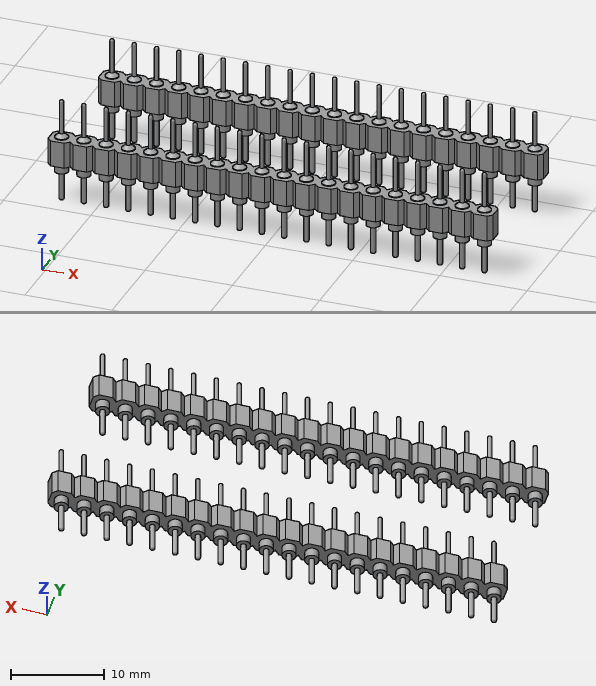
import cadquery as cq
import math

pin_count = 20
pitch = 2.55
row_spacing = 15.25

strip_length = pin_count * pitch
strip_height = 3.0
corner_chamfer = 0.5

collar_diameter = 1.5
collar_drop = 1.05
collar_rise = 0.1
cone_height = 0.4

upper_pin_diameter = 0.5
lower_pin_diameter = 0.6
total_height = 12.0
pin_top = 7.45
pin_bottom = pin_top - total_height


def strip_cell():
    """One octagonal cell of the strip, centred on the Z axis."""
    return (
        cq.Workplane("XY")
        .rect(pitch, pitch)
        .extrude(strip_height)
        .edges("|Z")
        .chamfer(corner_chamfer)
    )


def contact():
    """Turned contact: round-ended pins joined by a collar with a conical top."""
    collar_radius = collar_diameter / 2
    upper_radius = upper_pin_diameter / 2
    lower_radius = lower_pin_diameter / 2
    collar_top = strip_height + collar_rise
    upper_dome_base = pin_top - upper_radius
    lower_dome_base = pin_bottom + lower_radius
    diagonal = math.sqrt(0.5)

    half_section = (
        cq.Workplane("XZ")
        .moveTo(0, pin_bottom)
        .threePointArc(
            (lower_radius * diagonal, lower_dome_base - lower_radius * diagonal),
            (lower_radius, lower_dome_base),
        )
        .lineTo(lower_radius, -collar_drop)
        .lineTo(collar_radius, -collar_drop)
        .lineTo(collar_radius, collar_top)
        .lineTo(upper_radius, collar_top + cone_height)
        .lineTo(upper_radius, upper_dome_base)
        .threePointArc(
            (upper_radius * diagonal, upper_dome_base + upper_radius * diagonal),
            (0, pin_top),
        )
        .close()
    )
    return half_section.revolve(360, (0, 0), (0, 1))


def header_row(row_y):
    """One complete pin header: its cells and contacts form a single solid."""
    cell_with_contact = strip_cell().union(contact())
    row = cq.Workplane("XY")
    for index in range(pin_count):
        pin_x = (index + 0.5) * pitch - strip_length / 2
        row = row.union(cell_with_contact.translate((pin_x, row_y, 0)))
    return row.solids()


header_rows = [header_row(side * row_spacing / 2) for side in (-1, 1)]

result = cq.Compound.makeCompound([row.val() for row in header_rows])